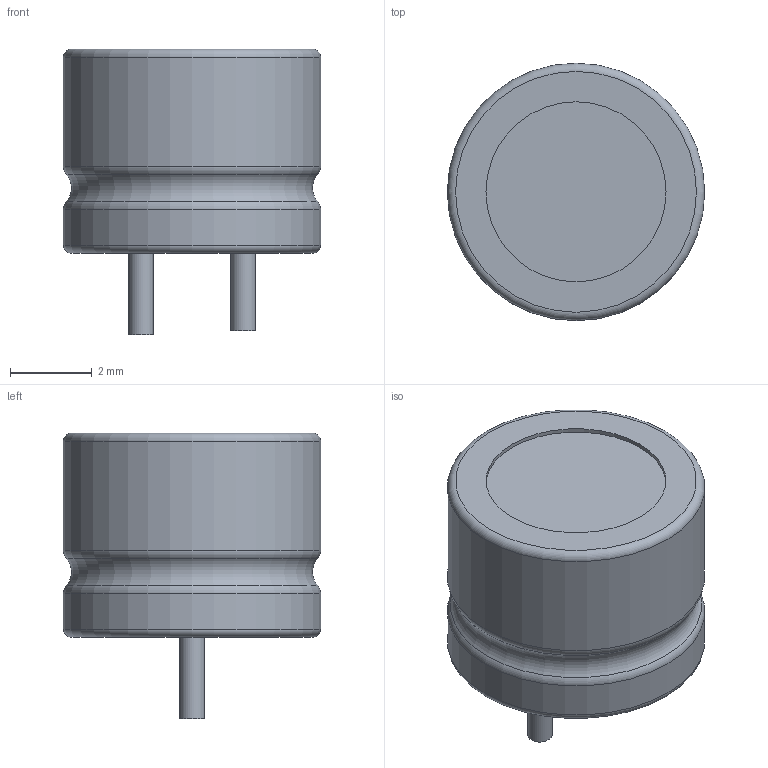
import cadquery as cq
import math

body_diameter = 6.3
body_height = 5.0
rim_fillet = 0.2

groove_center_z = 1.6
groove_depth = 0.2
groove_radius = 0.5
groove_blend_radius = 0.3

recess_diameter = 4.41
recess_depth = 0.1

lead_diameter = 0.6
lead_spacing = 2.5
long_lead_length = 2.0
short_lead_length = 1.9

body_radius = body_diameter / 2

arc_radius_sum = groove_radius + groove_blend_radius
tangent_angle = math.acos(1 - groove_depth / arc_radius_sum)


def groove_point(angle, side):
    """Point on a blend arc; side is +1 above the groove's mid-plane and -1 below it."""
    radius = body_radius - groove_blend_radius * (1 - math.cos(angle))
    height = arc_radius_sum * math.sin(tangent_angle) - groove_blend_radius * math.sin(angle)
    return radius, groove_center_z + side * height


def make_body():
    """Revolve the half section of the can about the Z axis."""
    flat_radius = body_radius - rim_fillet
    fillet_middle_inset = rim_fillet * (1 - math.sqrt(0.5))
    middle_radius = body_radius - fillet_middle_inset
    groove_bottom = (body_radius - groove_depth, groove_center_z)
    half_angle = tangent_angle / 2
    section = (
        cq.Workplane("XZ")
        .moveTo(0, 0)
        .lineTo(flat_radius, 0)
        .threePointArc((middle_radius, fillet_middle_inset), (body_radius, rim_fillet))
        .lineTo(*groove_point(0, -1))
        .threePointArc(groove_point(half_angle, -1), groove_point(tangent_angle, -1))
        .threePointArc(groove_bottom, groove_point(tangent_angle, 1))
        .threePointArc(groove_point(half_angle, 1), groove_point(0, 1))
        .lineTo(body_radius, body_height - rim_fillet)
        .threePointArc((middle_radius, body_height - fillet_middle_inset), (flat_radius, body_height))
        .lineTo(0, body_height)
        .close()
    )
    return section.revolve(360, (0, 0, 0), (0, 1, 0))


def make_recess():
    """Disc removed from the top face."""
    floor = cq.Workplane("XY").workplane(offset=body_height - recess_depth)
    return floor.circle(recess_diameter / 2).extrude(recess_depth)


def make_lead(x, length):
    """Round lead hanging from the underside of the can."""
    return cq.Workplane("XY").center(x, 0).circle(lead_diameter / 2).extrude(-length)


result = (
    make_body()
    .cut(make_recess())
    .union(make_lead(-lead_spacing / 2, long_lead_length))
    .union(make_lead(lead_spacing / 2, short_lead_length))
)